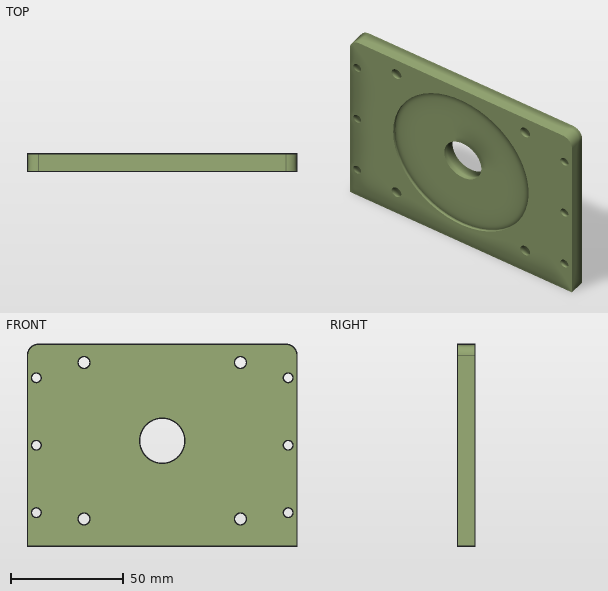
import cadquery as cq

plate_width = 120.0
plate_thickness = 8.0
plate_height = 90.0
corner_radius = 5.0

bore_diameter = 20.0
bore_offset_z = 2.0
pilot_diameter = 73.2
pilot_depth = 1.5
motor_hole_diameter = 5.2
motor_hole_spacing = 69.6

side_hole_diameter = 4.2
side_hole_edge_distance = 4.0
side_hole_pitch = 30.0
side_holes_per_column = 3


def make_plate():
    """Upright plate centred on the origin, with its two top corners rounded."""
    plate = cq.Workplane("XY").box(plate_width, plate_thickness, plate_height)
    return plate.edges("|Y and >Z").fillet(corner_radius)


def through_holes(points, diameter):
    """Cylinders along Y through the full thickness, at (x, z) points."""
    front_plane = cq.Workplane("XZ", origin=(0, -plate_thickness / 2, 0))
    return front_plane.pushPoints(points).circle(diameter / 2).extrude(-plate_thickness)


def pilot_recess():
    """Shallow round pocket in the back (+Y) face, concentric with the bore."""
    back_plane = cq.Workplane("XZ", origin=(0, plate_thickness / 2, bore_offset_z))
    return back_plane.circle(pilot_diameter / 2).extrude(pilot_depth)


bore_centre = [(0, bore_offset_z)]

motor_hole_centres = [
    (side_x * motor_hole_spacing / 2, bore_offset_z + side_z * motor_hole_spacing / 2)
    for side_x in (-1, 1)
    for side_z in (-1, 1)
]

side_hole_x = plate_width / 2 - side_hole_edge_distance
side_hole_centres = [
    (side * side_hole_x, (row - (side_holes_per_column - 1) / 2) * side_hole_pitch)
    for side in (-1, 1)
    for row in range(side_holes_per_column)
]

result = (
    make_plate()
    .cut(through_holes(bore_centre, bore_diameter))
    .cut(pilot_recess())
    .cut(through_holes(motor_hole_centres, motor_hole_diameter))
    .cut(through_holes(side_hole_centres, side_hole_diameter))
)